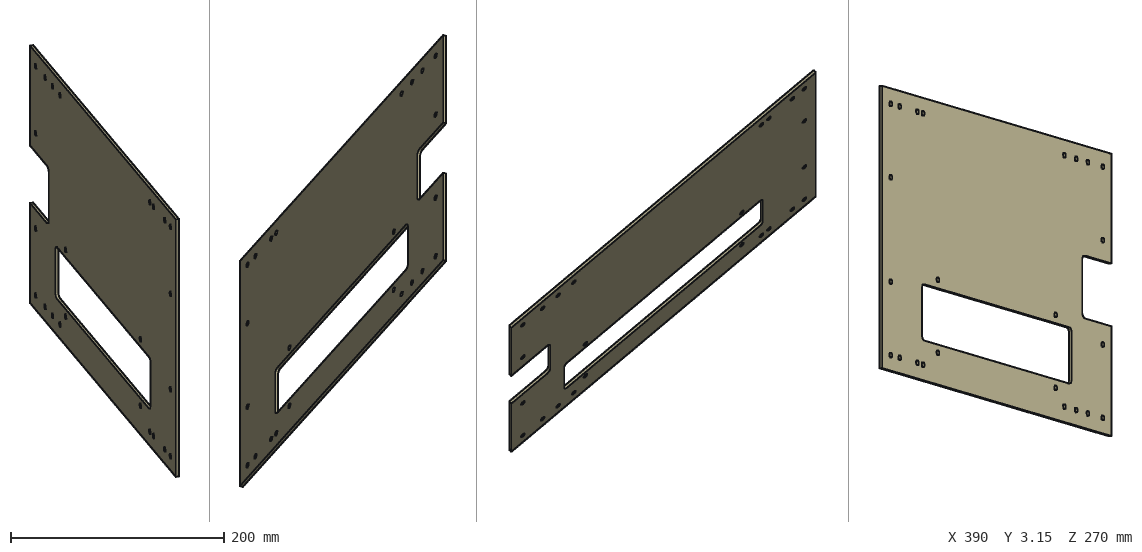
import cadquery as cq

PLATE_LENGTH = 390.0
PLATE_HEIGHT = 270.0
PLATE_THICKNESS = 3.15
LEFT_EDGE = -PLATE_LENGTH / 2
BOTTOM_EDGE = -PLATE_HEIGHT / 2

NOTCH_DEPTH = 50.0
NOTCH_HEIGHT = 60.0
NOTCH_CORNER_RADIUS = 5.0

WINDOW_LENGTH = 254.0
WINDOW_HEIGHT = 54.0
WINDOW_CORNER_RADIUS = 4.0
WINDOW_CENTRE_ABOVE_BOTTOM = 65.0
WINDOW_CENTRE_Z = BOTTOM_EDGE + WINDOW_CENTRE_ABOVE_BOTTOM
WINDOW_HOLE_PITCH_X = 200.0
WINDOW_HOLE_PITCH_Z = 70.0

HOLE_DIAMETER = 4.5
EDGE_MARGIN = 15.0
SIDE_HOLE_PITCH = 100.0
ROW_HOLE_OFFSETS = [40.0, 60.0, 80.0, 320.0, 330.0, 360.0]

CORNER_X = PLATE_LENGTH / 2 - EDGE_MARGIN
CORNER_Z = PLATE_HEIGHT / 2 - EDGE_MARGIN


def through_box(length, height, centre_x, centre_z):
    """Block through the full plate thickness, used as a cutter."""
    return cq.Workplane("XY").box(length, PLATE_THICKNESS, height).translate((centre_x, 0, centre_z))


def mirrored_points(x, z, centre_z=0.0):
    """Four points at +-x and +-z about a centre on the plate's middle line."""
    return [(side * x, centre_z + level * z) for side in (-1, 1) for level in (-1, 1)]


def notch_cutter():
    """The notch, rounded only at its two inner corners."""
    block = through_box(NOTCH_DEPTH, NOTCH_HEIGHT, LEFT_EDGE + NOTCH_DEPTH / 2, 0)
    return block.faces(">X").edges("|Y").fillet(NOTCH_CORNER_RADIUS)


def window_cutter():
    """The window, rounded at all four corners."""
    block = through_box(WINDOW_LENGTH, WINDOW_HEIGHT, 0, WINDOW_CENTRE_Z)
    return block.edges("|Y").fillet(WINDOW_CORNER_RADIUS)


def hole_centres():
    """(x, z) of every hole: corners, sides, top and bottom rows, window surround."""
    corners = mirrored_points(CORNER_X, CORNER_Z)
    sides = mirrored_points(CORNER_X, SIDE_HOLE_PITCH / 2)
    rows = [(LEFT_EDGE + offset, z) for z in (-CORNER_Z, CORNER_Z) for offset in ROW_HOLE_OFFSETS]
    surround = mirrored_points(WINDOW_HOLE_PITCH_X / 2, WINDOW_HOLE_PITCH_Z / 2, WINDOW_CENTRE_Z)
    return corners + sides + rows + surround


def hole_cutters():
    """Pins along Y through the plate at every hole centre."""
    sketch = cq.Workplane("XZ").pushPoints(hole_centres()).circle(HOLE_DIAMETER / 2)
    return sketch.extrude(PLATE_THICKNESS, both=True)


plate = cq.Workplane("XY").box(PLATE_LENGTH, PLATE_THICKNESS, PLATE_HEIGHT)
result = plate.cut(notch_cutter()).cut(window_cutter()).cut(hole_cutters())